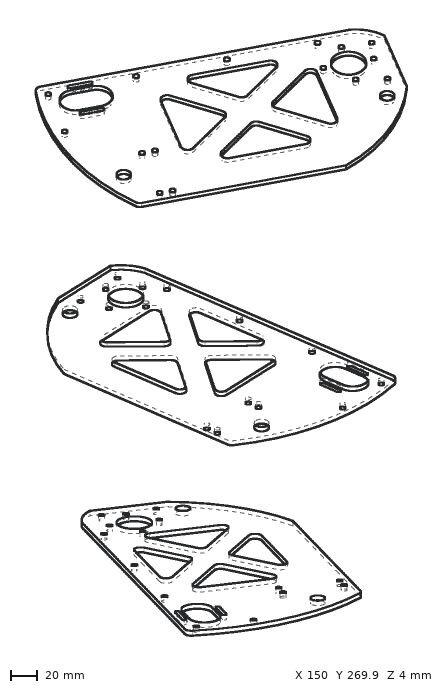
import cadquery as cq
import math

width = 150.0
height = 269.91
thickness = 4.0

top_left_x = 13.6
top_right_x = 74.3
left_shoulder_y = 247.8
right_shoulder_y = 201.3
left_shoulder_radius = 36.0
right_shoulder_radius = 132.0
bottom_radius = 184.0
bottom_center_x = 34.8
bottom_corner_fillet = 5.0

window_center = (68.0, 149.55)
window_width = 100.0
window_height = 121.0
strut_width = 20.0
strut_angle = 49.5
window_fillet = 5.0

bore_center = (37.0, 235.45)
bore_diameter = 26.5
bore_screw_diameter = 4.3
bore_screw_circle = 39.0
bore_screw_count = 4

edge_hole_diameter = 4.5
edge_hole_x = 8.0
edge_hole_middle_y = 149.5
edge_hole_pitch = 70.3

end_hole_diameter = 4.2
end_hole_centers = [(18.95, 258.5), (62.0, 258.5), (10.0, 10.55), (54.85, 10.55)]

group_hole_diameter = 4.3
group_center = (118.45, 64.15)
group_pitch_x = 48.0
group_pitch_y = 10.0

round_hole_diameter = 11.0
round_hole_centers = [(81.1, 252.8), (115.0, 39.05)]

opening_center = (22.15, 36.35)
opening_width = 23.7
opening_length = 40.5
slot_spacing = 31.75
slot_width = 3.3
slot_length = 19.3


def bottom_arc_y(x):
    """Height of the bottom arc at a given x."""
    return bottom_radius - math.sqrt(bottom_radius**2 - (x - bottom_center_x) ** 2)


def arc_bulge(start, end, radius):
    """Signed arc height over its chord; negative makes the arc bulge to the right of travel."""
    half_chord = math.dist(start, end) / 2
    return -(radius - math.sqrt(radius**2 - half_chord**2))


def make_plate():
    bottom_left = (0, bottom_arc_y(0))
    bottom_right = (width, bottom_arc_y(width))
    right_shoulder = (width, right_shoulder_y)
    top_right = (top_right_x, height)
    top_left = (top_left_x, height)
    left_shoulder = (0, left_shoulder_y)
    plate = (
        cq.Workplane("XY")
        .moveTo(*bottom_left)
        .threePointArc((bottom_center_x, 0), bottom_right)
        .lineTo(*right_shoulder)
        .sagittaArc(top_right, arc_bulge(right_shoulder, top_right, right_shoulder_radius))
        .lineTo(*top_left)
        .sagittaArc(left_shoulder, arc_bulge(top_left, left_shoulder, left_shoulder_radius))
        .close()
        .extrude(thickness)
    )
    for corner in (bottom_left, bottom_right):
        edge = plate.edges(cq.selectors.NearestToPointSelector((*corner, thickness / 2)))
        plate = edge.fillet(bottom_corner_fillet)
    return plate


def make_window():
    """Four triangular cutters left between the crossing struts."""
    window = cq.Workplane("XY").rect(window_width, window_height).extrude(thickness)
    strut_length = 2 * math.hypot(window_width, window_height)
    for angle in (strut_angle, -strut_angle):
        strut = cq.Workplane("XY").rect(strut_length, strut_width).extrude(thickness)
        window = window.cut(strut.rotate((0, 0, 0), (0, 0, 1), angle))
    return window.edges("|Z").fillet(window_fillet).translate((*window_center, 0))


def cut_holes(plate, centers, diameter):
    holes = cq.Workplane("XY").pushPoints(centers).circle(diameter / 2).extrude(thickness)
    return plate.cut(holes)


def cut_upright_slots(plate, centers, length, slot_size):
    slots = cq.Workplane("XY").pushPoints(centers).slot2D(length, slot_size, 90).extrude(thickness)
    return plate.cut(slots)


def cut_bore(plate):
    plate = cut_holes(plate, [bore_center], bore_diameter)
    screw_centers = []
    for index in range(bore_screw_count):
        angle = 2 * math.pi * index / bore_screw_count
        x = bore_center[0] + bore_screw_circle / 2 * math.cos(angle)
        y = bore_center[1] + bore_screw_circle / 2 * math.sin(angle)
        screw_centers.append((x, y))
    return cut_holes(plate, screw_centers, bore_screw_diameter)


def cut_edge_holes(plate):
    centers = [(edge_hole_x, edge_hole_middle_y + step * edge_hole_pitch) for step in (-1, 0, 1)]
    return cut_holes(plate, centers, edge_hole_diameter)


def cut_hole_group(plate):
    centers = []
    for side_x in (-1, 1):
        for side_y in (-1, 1):
            x = group_center[0] + side_x * group_pitch_x / 2
            y = group_center[1] + side_y * group_pitch_y / 2
            centers.append((x, y))
    return cut_holes(plate, centers, group_hole_diameter)


def cut_slotted_opening(plate):
    plate = cut_upright_slots(plate, [opening_center], opening_length, opening_width)
    x, y = opening_center
    slot_centers = [(x + side * slot_spacing / 2, y) for side in (-1, 1)]
    return cut_upright_slots(plate, slot_centers, slot_length, slot_width)


plate = make_plate().cut(make_window())
plate = cut_bore(plate)
plate = cut_edge_holes(plate)
plate = cut_holes(plate, end_hole_centers, end_hole_diameter)
plate = cut_hole_group(plate)
plate = cut_holes(plate, round_hole_centers, round_hole_diameter)
result = cut_slotted_opening(plate)